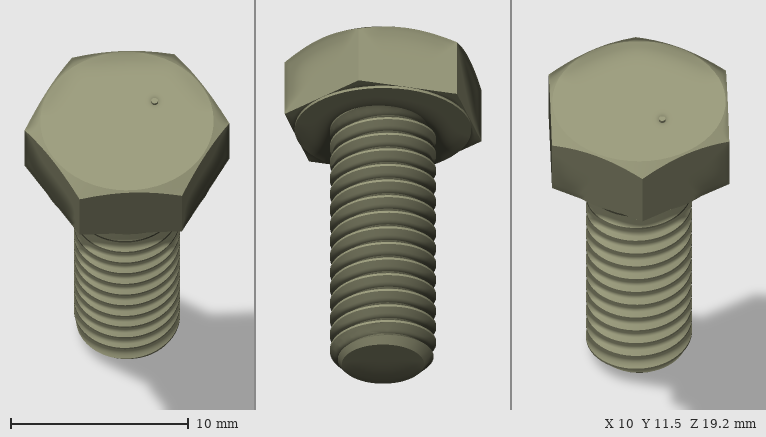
import cadquery as cq
import math


envelope_margin = 0.2

across_flats = 10.0
head_height = 4.0
washer_height = 0.15
washer_diameter = 9.95
top_circle_radius = 4.88
chamfer_angle = 31.0
corner_radius = across_flats / math.sqrt(3)

dot_height = 0.15
dot_radius = 0.2
dot_position = (0.77, 1.9)

total_height = 19.15
shank_length = total_height - head_height - dot_height
pitch = 1.0
major_radius = 3 * pitch
root_radius = 2.37
tip_radius = 2.32
crest_flat = pitch / 8
root_flat = 0.08
crest_height_at_tip = 0.85


def make_head():
    washer = cq.Workplane("XY").circle(washer_diameter / 2).extrude(washer_height)
    hexagon = (
        cq.Workplane("XY", origin=(0, 0, washer_height))
        .polygon(6, 2 * corner_radius)
        .extrude(head_height - washer_height)
        .rotate((0, 0, 0), (0, 0, 1), 30)
    )
    envelope_radius = corner_radius + envelope_margin
    chamfer_drop = (envelope_radius - top_circle_radius) * math.tan(math.radians(chamfer_angle))
    envelope = (
        cq.Workplane("XZ")
        .moveTo(0, 0)
        .lineTo(envelope_radius, 0)
        .lineTo(envelope_radius, head_height - chamfer_drop)
        .lineTo(top_circle_radius, head_height)
        .lineTo(0, head_height)
        .close()
        .revolve(360, (0, 0, 0), (0, 1, 0))
    )
    return hexagon.intersect(envelope).union(washer)


def make_thread_ridge():
    """Right-handed helical ridge that runs past both ends of the shank."""
    start_z = -shank_length + crest_height_at_tip - 2 * pitch
    turns = math.ceil(shank_length / pitch) + 3
    half_crest = crest_flat / 2
    half_root = (pitch - root_flat) / 2
    sink = 0.04
    flank_slope = (half_root - half_crest) / (major_radius - root_radius)
    base_radius = root_radius - sink
    half_base = half_root + sink * flank_slope
    helix = cq.Wire.makeHelix(pitch, turns * pitch, root_radius, center=cq.Vector(0, 0, start_z))
    return (
        cq.Workplane("XZ")
        .polyline([
            (base_radius, start_z - half_base),
            (major_radius, start_z - half_crest),
            (major_radius, start_z + half_crest),
            (base_radius, start_z + half_base),
        ])
        .close()
        .sweep(cq.Workplane(helix), isFrenet=True)
    )


def make_shank():
    overrun = 8 * pitch
    core = (
        cq.Workplane("XY", origin=(0, 0, overrun))
        .circle(root_radius)
        .extrude(-shank_length - 2 * overrun)
    )
    envelope_radius = major_radius + envelope_margin
    envelope = (
        cq.Workplane("XY")
        .circle(envelope_radius)
        .extrude(-shank_length)
        .faces("<Z")
        .chamfer(envelope_radius - tip_radius)
    )
    seam_angle = 90
    core = core.rotate((0, 0, 0), (0, 0, 1), seam_angle)
    envelope = envelope.rotate((0, 0, 0), (0, 0, 1), seam_angle)
    return core.union(make_thread_ridge()).intersect(envelope)


def make_dot():
    return (
        cq.Workplane("XY", origin=(*dot_position, head_height))
        .circle(dot_radius)
        .extrude(dot_height)
    )


result = make_head().union(make_shank()).union(make_dot())